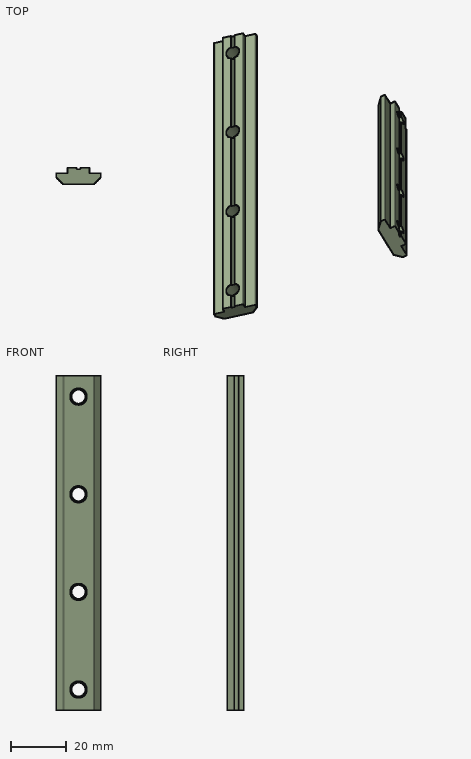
import cadquery as cq

length = 120.0
width = 16.0
height = 6.0

neck_width = 8.0
neck_height = 1.9
flank_chamfer = 2.5
wing_edge_radius = 0.3
neck_edge_radius = 0.3
front_edge_radius = 0.3
groove_width = 1.5
groove_floor_width = 1.0
groove_depth = 0.5

hole_count = 4
hole_pitch = 35.0
hole_diameter = 5.0
counterbore_diameter = 6.0
counterbore_depth = 0.2

front_y = -height / 2
back_y = height / 2
wing_back_y = back_y - neck_height
flank_y = front_y + flank_chamfer


def make_bar():
    """Extrude the symmetric stepped section, with a shallow tapered groove along the neck, up the Z axis."""
    right_side = [
        (width / 2 - flank_chamfer, front_y),
        (width / 2, flank_y),
        (width / 2, wing_back_y),
        (neck_width / 2, wing_back_y),
        (neck_width / 2, back_y),
        (groove_width / 2, back_y),
    ]
    groove_y = back_y - groove_depth
    groove_floor = [(groove_floor_width / 2, groove_y), (-groove_floor_width / 2, groove_y)]
    left_side = [(-x, y) for x, y in reversed(right_side)]
    return (
        cq.Workplane("XY")
        .workplane(offset=-length / 2)
        .polyline(right_side + groove_floor + left_side)
        .close()
        .extrude(length)
    )


def round_edge_pair(bar, edge_x, edge_y, radius):
    """Round the two long edges that mirror each other at -edge_x and +edge_x."""
    for side in (-1, 1):
        corner = (side * edge_x, edge_y, 0)
        bar = bar.edges(cq.selectors.NearestToPointSelector(corner)).fillet(radius)
    return bar


def drill_holes(bar):
    """Drill the evenly spaced row of holes, with a shallow counterbore on the front face."""
    return (
        bar.faces("<Y")
        .workplane(centerOption="ProjectedOrigin", origin=(0, 0, 0))
        .rarray(hole_pitch, hole_pitch, 1, hole_count)
        .cboreHole(hole_diameter, counterbore_diameter, counterbore_depth)
    )


bar = make_bar()
bar = round_edge_pair(bar, width / 2, wing_back_y, wing_edge_radius)
bar = round_edge_pair(bar, neck_width / 2, back_y, neck_edge_radius)
bar = round_edge_pair(bar, width / 2 - flank_chamfer, front_y, front_edge_radius)
result = drill_holes(bar)